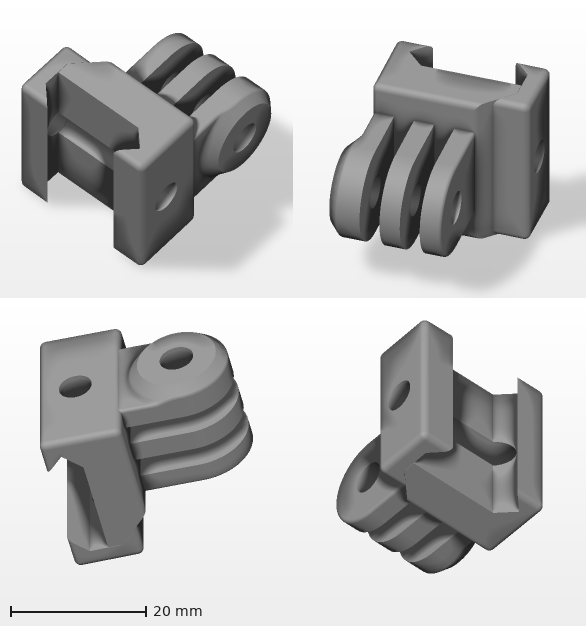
import cadquery as cq

length = 29.03
height = 25.0
mid_z = height / 2
edge_radius = 1.0

base_right = 23.92
base_left = 2.87
base_front = 0.12
base_back = 12.57
slant_start = 7.75

channel_floor = 5.65
channel_apex_x = 21.22
channel_apex_y = 2.93

bolt_diameter = 5.0
bolt_y = 5.72

fork_left = 7.85
fork_right = 23.65
fork_end_radius = 7.505
fork_axis_y = length - fork_end_radius
fork_edge_radius = 0.5
rim_margin = 0.3
pivot_diameter = 5.1
slot_width = 3.1
slot_starts = [11.05, 17.33]

boss_right = 25.63
boss_tip_radius = 6.0
boss_base_radius = boss_tip_radius + boss_right - fork_right

jaw_left = 0.12
jaw_front = 0.0
jaw_back = 10.55
jaw_bend_y = 2.85
jaw_tilt = 0.7


def cylinder_x(diameter, y, z, start, end):
    """Cylinder along X from start to end."""
    axis = cq.Workplane("YZ", origin=(start, y, z))
    return axis.circle(diameter / 2).extrude(end - start)


def rounded_block(x_min, x_max, y_min, y_max):
    """Full-height block with every edge rounded."""
    block = cq.Workplane("XY").box(x_max - x_min, y_max - y_min, height, centered=False)
    return block.translate((x_min, y_min, 0)).edges().fillet(edge_radius)


def prism(points):
    """Full-height prism with the given XY outline."""
    return cq.Workplane("XY").polyline(points).close().extrude(height)


def slant_x(y):
    """X of the slanted left face of the base at the given Y."""
    return base_left + y - slant_start


def make_base():
    foot_x = channel_apex_x - (channel_apex_y - base_front)
    shoulder_x = channel_apex_x - (channel_floor - channel_apex_y)
    profile = prism([
        (base_left, channel_floor),
        (shoulder_x, channel_floor),
        (channel_apex_x, channel_apex_y),
        (foot_x, base_front),
        (base_right, base_front),
        (base_right, base_back),
        (slant_x(base_back), base_back),
        (base_left, slant_start),
    ])
    slant_end = cq.selectors.NearestToPointSelector((slant_x(base_back), base_back, mid_z))
    profile = profile.edges(slant_end).fillet(edge_radius)
    block = rounded_block(base_left - 2 * edge_radius, base_right, base_front, base_back)
    return block.intersect(profile)


def fork_outline(start, end):
    """Round-ended tongue filling the fork outline between two X positions."""
    root_y = base_back - edge_radius
    return (
        cq.Workplane("YZ", origin=(start, 0, 0))
        .moveTo(root_y, mid_z - fork_end_radius)
        .lineTo(fork_axis_y, mid_z - fork_end_radius)
        .threePointArc((fork_axis_y + fork_end_radius, mid_z), (fork_axis_y, mid_z + fork_end_radius))
        .lineTo(root_y, mid_z + fork_end_radius)
        .close()
        .extrude(end - start)
    )


def make_boss():
    """Cone trimmed to the fork outline."""
    cone = cq.Workplane(cq.Solid.makeCone(
        boss_base_radius, boss_tip_radius, boss_right - fork_right,
        pnt=cq.Vector(fork_right, fork_axis_y, mid_z), dir=cq.Vector(1, 0, 0),
    ))
    return cone.intersect(fork_outline(fork_right, boss_right))


def make_fork():
    fork = fork_outline(fork_left, fork_right)
    fork = fork.union(make_boss())
    fork = fork.faces("<X").edges("not(<Y)").fillet(fork_edge_radius)
    rim_box = cq.selectors.BoxSelector(
        (fork_right - rim_margin, base_back, -rim_margin),
        (boss_right - rim_margin, length + rim_margin, height + rim_margin),
    )
    fork = fork.edges(rim_box).fillet(fork_edge_radius)
    for start in slot_starts:
        slot = cq.Workplane("XY").box(slot_width, length - base_back, height, centered=False)
        fork = fork.cut(slot.translate((start, base_back, 0)))
    return fork


def make_mount():
    mount = make_base().union(make_fork())
    mount = mount.cut(cylinder_x(pivot_diameter, fork_axis_y, mid_z, fork_left, boss_right))
    return mount.cut(cylinder_x(bolt_diameter, bolt_y, mid_z, base_left, base_right))


def make_jaw():
    tip_x = base_left + jaw_bend_y - jaw_front
    corner_x = slant_x(jaw_back)
    profile = prism([
        (jaw_left, jaw_front),
        (tip_x, jaw_front),
        (base_left, jaw_bend_y),
        (base_left, slant_start),
        (corner_x, jaw_back),
        (jaw_left, jaw_back),
    ])
    block = rounded_block(jaw_left, corner_x + 2 * edge_radius, jaw_front, jaw_back)
    jaw = block.intersect(profile)
    jaw = jaw.rotate((corner_x, jaw_back, 0), (corner_x, jaw_back, 1), -jaw_tilt)
    return jaw.cut(cylinder_x(bolt_diameter, bolt_y, mid_z, -edge_radius, tip_x))


mount = make_mount()
jaw = make_jaw()

result = cq.Compound.makeCompound([mount.val(), jaw.val()])